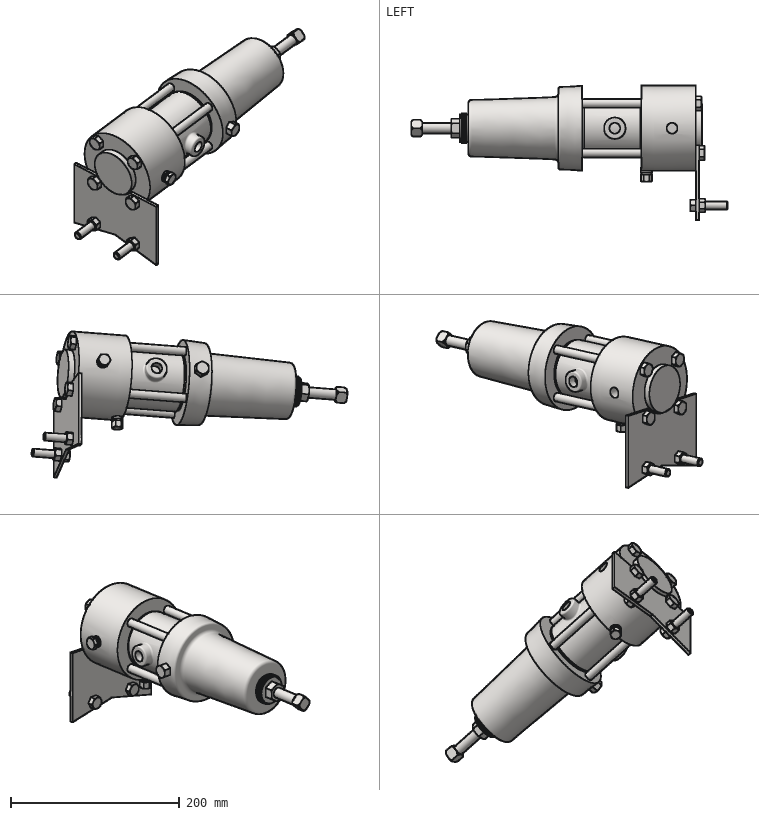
import cadquery as cq
import math

total_length = 376.0
bracket_bolt_tip = -38.0
screw_end = total_length + bracket_bolt_tip

body_radius = 50.8
boss_radius = 28.5
boss_height = 7.5
cap_length = 49.5
collar_end = 64.5
flange_start = 135.0
flange_end = 163.2
flange_rim_radius = 49.3
flange_round = 2.5
root_radius = 37.2
root_fillet = 4.5
bonnet_end = 270.5
bonnet_rim_radius = 34.0
bonnet_round = 4.0

barrel_radius = 35.0
barrel_neck_radius = 34.0
rear_neck_width = 2.3
front_neck_width = 1.0
port_y = 96.3
port_radius = 12.8
port_tip = 45.0
port_round = 2.0
hole_radius = 6.5
hole_depth = 18.8
cap_hole_y = 28.2

gland_radius = 16.5
gland_end = 280.0
gland_ring_radius = 18.0
gland_ring_starts = (272.5, 276.0)
gland_ring_width = 2.0
lock_nut_flats = 20.0
lock_nut_height = 10.5
screw_radius = 6.5
screw_head_flats = 14.3
screw_head_height = 13.0
screw_head_chamfer = 2.3

rod_offset = 29.5
rod_radius = 5.3
bolt_flats = 15.0
bolt_head_height = 6.8
head_chamfer = 0.95

bracket_half_width = 63.5
bracket_thickness = 3.8
bracket_top = -20.3
bracket_bottom = -109.0
bracket_notch_z = -95.0
bracket_clearance_radius = 30.5
bracket_bolt_x = 30.0
bracket_bolt_z = -91.8
bracket_bolt_radius = 5.0
bracket_bolt_chamfer = 1.0
bracket_bolt_flats = 14.0
bracket_nut_height = 7.5

plug_embed = 3.8
plug_neck_radius = 6.8
plug_waist_radius = 6.0
plug_step = 2.3
cap_plug_y = 28.5
cap_plug_flats = 13.5
cap_plug_height = 5.5
drain_plug_y = 58.5
drain_plug_flats = 11.5
drain_plug_height = 8.3
flange_plug_y = 149.0
flange_plug_flats = 14.5
flange_plug_tip = 58.5

X_AXIS = (1, 0, 0)
Y_AXIS = (0, 1, 0)
Z_AXIS = (0, 0, 1)
FRONT = (0, -1, 0)
DOWN = (0, 0, -1)


def cylinder(start, direction, radius, length):
    """Cylinder from the centre of its start face along a direction."""
    return cq.Workplane(cq.Solid.makeCylinder(radius, length, cq.Vector(start), cq.Vector(direction)))


def prism_head(start, direction, corner, flats, height, chamfer, sides=6, both_ends=False):
    """Nut or bolt head with a corner in the given direction and its corners chamfered at the end."""
    corner_radius = flats / 2 / math.cos(math.pi / sides)
    envelope = cq.Workplane("XY").circle(corner_radius).extrude(height)
    envelope = envelope.edges("%CIRCLE" if both_ends else ">Z").chamfer(chamfer)
    prism = cq.Workplane("XY").polygon(sides, 2 * corner_radius).extrude(height)
    plane = cq.Plane(origin=start, xDir=corner, normal=direction)
    return cq.Workplane(prism.intersect(envelope).val().moved(plane.location))


def end_cap():
    cap = cylinder((0, 0, 0), Y_AXIS, body_radius, cap_length)
    collar = cylinder((0, cap_length, 0), Y_AXIS, body_radius, collar_end - cap_length)
    boss = cylinder((0, 0, 0), FRONT, boss_radius, boss_height)
    hole = cylinder((-body_radius, cap_hole_y, 0), X_AXIS, hole_radius, hole_depth)
    return cap.cut(hole).union(boss).union(collar, clean=False)


def bonnet():
    """Tapered flange and tapered bonnet turned about the Y axis."""
    diagonal = math.sqrt(0.5)
    flange_rim_y = flange_end - flange_round
    root_y = flange_end + root_fillet
    root_center = root_radius + root_fillet
    bonnet_rim_y = bonnet_end - bonnet_round
    flange_top_radius = flange_rim_radius - flange_round
    bonnet_top_radius = bonnet_rim_radius - bonnet_round
    return (
        cq.Workplane("XY")
        .moveTo(0, flange_start)
        .lineTo(body_radius, flange_start)
        .lineTo(flange_rim_radius, flange_rim_y)
        .threePointArc(
            (flange_top_radius + flange_round * diagonal, flange_rim_y + flange_round * diagonal),
            (flange_top_radius, flange_end),
        )
        .lineTo(root_center, flange_end)
        .threePointArc(
            (root_center - root_fillet * diagonal, root_y - root_fillet * diagonal),
            (root_radius, root_y),
        )
        .lineTo(bonnet_rim_radius, bonnet_rim_y)
        .threePointArc(
            (bonnet_top_radius + bonnet_round * diagonal, bonnet_rim_y + bonnet_round * diagonal),
            (bonnet_top_radius, bonnet_end),
        )
        .lineTo(0, bonnet_end)
        .close()
        .revolve(360, (0, 0, 0), Y_AXIS)
    )


def barrel():
    """Barrel with a narrow neck at each end and a drilled port on each side."""
    neck = cylinder((0, collar_end, 0), Y_AXIS, barrel_neck_radius, flange_start - collar_end)
    wide_start = collar_end + front_neck_width
    wide_length = flange_start - rear_neck_width - wide_start
    body = cylinder((0, wide_start, 0), Y_AXIS, barrel_radius, wide_length)
    ports = cylinder((-port_tip, port_y, 0), X_AXIS, port_radius, 2 * port_tip)
    ports = ports.edges("%CIRCLE").fillet(port_round)
    port_roots = cq.selectors.BoxSelector(
        (-barrel_radius, port_y - port_radius, -port_radius),
        (barrel_radius, port_y + port_radius, port_radius),
    )
    body = body.union(ports).edges(port_roots).fillet(port_round)
    for side in (-1, 1):
        hole = cylinder((side * port_tip, port_y, 0), (-side, 0, 0), hole_radius, hole_depth)
        body = body.cut(hole)
    return body.union(neck)


def adjusting_screw():
    gland = cylinder((0, bonnet_end, 0), Y_AXIS, gland_radius, gland_end - bonnet_end)
    for ring_start in gland_ring_starts:
        gland = gland.union(cylinder((0, ring_start, 0), Y_AXIS, gland_ring_radius, gland_ring_width))
    nut = prism_head((0, gland_end, 0), Y_AXIS, Z_AXIS, lock_nut_flats, lock_nut_height, head_chamfer)
    head_start = screw_end - screw_head_height
    shank = cylinder((0, gland_end, 0), Y_AXIS, screw_radius, head_start - gland_end)
    head = prism_head(
        (0, head_start, 0), Y_AXIS, Z_AXIS, screw_head_flats, screw_head_height,
        screw_head_chamfer, sides=4, both_ends=True,
    )
    return gland.union(nut).union(shank).union(head)


def tie_rods():
    """Four rods between collar and flange, with bolt heads on the cap or on the bracket."""
    rods = cq.Workplane("XY")
    for x in (-rod_offset, rod_offset):
        for z in (-rod_offset, rod_offset):
            seat = -bracket_thickness if z < 0 else 0
            rods = rods.union(cylinder((x, collar_end, z), Y_AXIS, rod_radius, flange_start - collar_end))
            rods = rods.union(prism_head(
                (x, seat, z), FRONT, Z_AXIS, bolt_flats, bolt_head_height, head_chamfer))
    return rods


def bracket():
    """Plate with a V-notched lower edge and a round clearance for the boss."""
    plate = (
        cq.Workplane("XZ")
        .moveTo(-bracket_half_width, bracket_top)
        .lineTo(bracket_half_width, bracket_top)
        .lineTo(bracket_half_width, bracket_bottom)
        .lineTo(0, bracket_notch_z)
        .lineTo(-bracket_half_width, bracket_bottom)
        .close()
        .extrude(bracket_thickness)
    )
    plate = plate.cut(cylinder((0, 0, 0), FRONT, bracket_clearance_radius, bracket_thickness))
    for x in (-bracket_bolt_x, bracket_bolt_x):
        start = (x, 0, bracket_bolt_z)
        nut_seat = (x, -bracket_thickness, bracket_bolt_z)
        shank = cylinder(start, FRONT, bracket_bolt_radius, -bracket_bolt_tip)
        shank = shank.faces("<Y").chamfer(bracket_bolt_chamfer)
        head = prism_head(start, Y_AXIS, X_AXIS, bracket_bolt_flats, bolt_head_height, head_chamfer)
        nut = prism_head(nut_seat, FRONT, Z_AXIS, bracket_bolt_flats, bracket_nut_height, head_chamfer)
        plate = plate.union(shank).union(head).union(nut)
    return plate


def stepped_plug(y, direction, corner, flats, height):
    """Plug with a collar, a narrower waist and a hexagon head, on the body's outer surface."""
    def station(distance):
        return (direction[0] * distance, y, direction[2] * distance)

    waist_end = body_radius + 2 * plug_step
    neck = cylinder(station(body_radius - plug_embed), direction, plug_neck_radius, plug_embed + plug_step)
    waist = cylinder(station(body_radius), direction, plug_waist_radius, 2 * plug_step)
    head = prism_head(station(waist_end), direction, corner, flats, height, head_chamfer)
    return neck.union(waist).union(head)


def flange_plug():
    start = flange_rim_radius - plug_embed
    return prism_head(
        (start, flange_plug_y, 0), X_AXIS, Z_AXIS, flange_plug_flats, flange_plug_tip - start, head_chamfer)


result = (
    end_cap()
    .union(barrel(), clean=False)
    .union(bonnet(), clean=False)
    .union(adjusting_screw(), clean=False)
    .union(tie_rods(), clean=False)
    .union(bracket(), clean=False)
    .union(stepped_plug(cap_plug_y, X_AXIS, Y_AXIS, cap_plug_flats, cap_plug_height), clean=False)
    .union(stepped_plug(drain_plug_y, DOWN, Y_AXIS, drain_plug_flats, drain_plug_height), clean=False)
    .union(flange_plug(), clean=False)
)